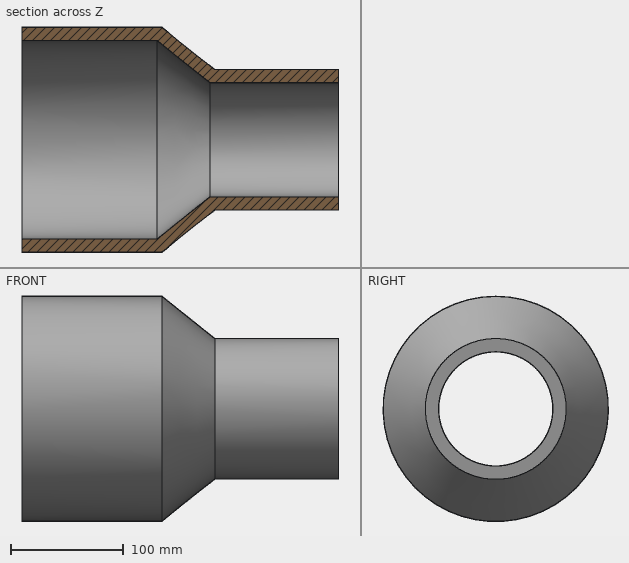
import math

import cadquery as cq

total_length = 281.0
wide_length = 124.2
narrow_length = 110.0
wide_outer_diameter = 200.0
wide_bore_diameter = 176.2
narrow_outer_diameter = 125.0
narrow_bore_diameter = 101.2

cone_start = wide_length
cone_end = total_length - narrow_length

wall = (wide_outer_diameter - wide_bore_diameter) / 2
cone_drop = (wide_outer_diameter - narrow_outer_diameter) / 2
cone_angle = math.atan2(cone_drop, cone_end - cone_start)
bore_shift = wall * math.tan(cone_angle / 2)


def reducer_body(wide_diameter, narrow_diameter, taper_start, taper_end):
    """Solid of a wide cylinder, a cone and a narrow cylinder along X."""
    wide_radius = wide_diameter / 2
    narrow_radius = narrow_diameter / 2
    profile = (
        cq.Workplane("XZ")
        .moveTo(0, 0)
        .lineTo(0, wide_radius)
        .lineTo(taper_start, wide_radius)
        .lineTo(taper_end, narrow_radius)
        .lineTo(total_length, narrow_radius)
        .lineTo(total_length, 0)
        .close()
    )
    return profile.revolve(360, (0, 0, 0), (1, 0, 0))


outer_body = reducer_body(wide_outer_diameter, narrow_outer_diameter, cone_start, cone_end)
bore = reducer_body(
    wide_bore_diameter,
    narrow_bore_diameter,
    cone_start - bore_shift,
    cone_end - bore_shift,
)

result = outer_body.cut(bore)